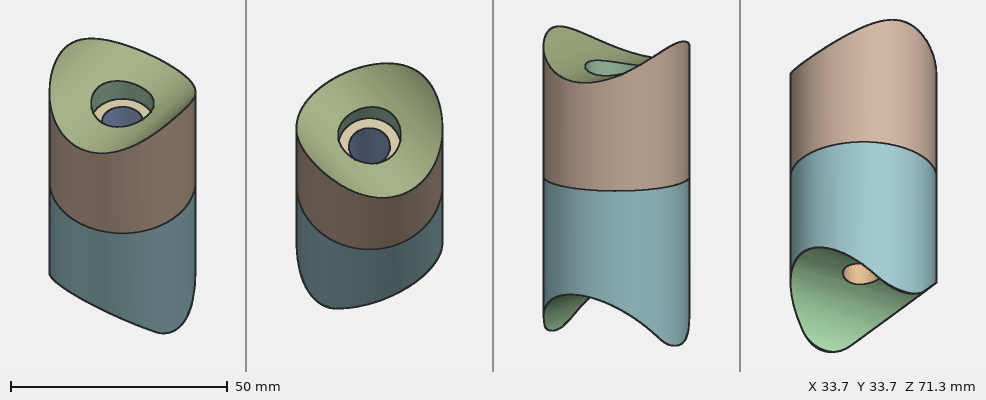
import cadquery as cq
import math

total_height = 71.3
outer_diameter = 33.7
bore_diameter = 9.5
counterbore_diameter = 14.5
counterbore_floor_height = 19.6
spacer_height = 25.0

upper_pipe_diameter = 42.4
lower_pipe_diameter = outer_diameter
tip_rounding_radius = 9.35

outer_radius = outer_diameter / 2
upper_pipe_radius = upper_pipe_diameter / 2

upper_pipe_axis_z = spacer_height + upper_pipe_radius
upper_tip_z = upper_pipe_axis_z - math.sqrt(upper_pipe_radius**2 - outer_radius**2)
lower_tip_z = upper_tip_z - total_height
lower_pipe_axis_z = -spacer_height - lower_pipe_diameter / 2


def upright_cylinder(diameter, bottom_z, top_z):
    """Cylinder on the Z axis."""
    return cq.Workplane("XY").workplane(offset=bottom_z).circle(diameter / 2).extrude(top_z - bottom_z)


def pipe_along_y(diameter, axis_z):
    """Pipe envelope that crosses the full width of a spacer."""
    return cq.Workplane("XZ").center(0, axis_z).circle(diameter / 2).extrude(outer_diameter, both=True)


def rounded_tip_envelope():
    """Region above a half-round floor along X, open up past the joint face."""
    tip_axis_z = lower_tip_z + tip_rounding_radius
    tangent_y = tip_rounding_radius * math.sin(math.radians(45))
    tangent_z = tip_axis_z - tangent_y
    side_run = total_height
    return (
        cq.Workplane("YZ")
        .moveTo(-tangent_y, tangent_z)
        .threePointArc((0, lower_tip_z), (tangent_y, tangent_z))
        .lineTo(tangent_y + side_run, tangent_z + side_run)
        .lineTo(-tangent_y - side_run, tangent_z + side_run)
        .close()
        .extrude(outer_diameter, both=True)
    )


def make_upper_spacer():
    """Spacer with the shallow saddle and a counterbored bore."""
    body = upright_cylinder(outer_diameter, 0, upper_tip_z)
    body = body.cut(pipe_along_y(upper_pipe_diameter, upper_pipe_axis_z))
    body = body.cut(upright_cylinder(bore_diameter, 0, upper_tip_z))
    return body.cut(upright_cylinder(counterbore_diameter, counterbore_floor_height, upper_tip_z))


def make_lower_spacer():
    """Spacer with the deep saddle, rounded saddle points and a plain bore."""
    body = upright_cylinder(outer_diameter, lower_tip_z, 0)
    body = body.cut(pipe_along_y(lower_pipe_diameter, lower_pipe_axis_z))
    body = body.intersect(rounded_tip_envelope())
    return body.cut(upright_cylinder(bore_diameter, lower_tip_z, 0))


upper_spacer = make_upper_spacer()
lower_spacer = make_lower_spacer()

result = cq.Compound.makeCompound([upper_spacer.val(), lower_spacer.val()])